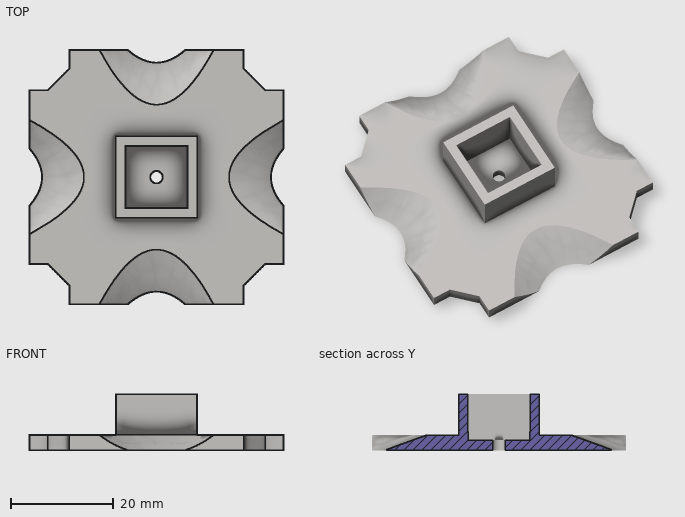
import cadquery as cq

plate_size = 49.8
plate_thickness = 3.0
total_height = 11.0
side_half_width = 17.05
bevel_reach = 21.25

socket_size = 15.95
pocket_size = 12.2
pocket_floor_size = 12.0
pocket_floor_height = 2.0
drain_diameter = 2.4

scoop_edge_radius = 18.1
scoop_edge_depth = 3.9
scoop_length = 10.7
scoop_tip_radius = 15.65
scoop_overrun = 1.0

half_plate = plate_size / 2


def make_plate():
    """Square plate whose corners are cut back to a diagonal."""
    corner = [
        (half_plate, side_half_width),
        (bevel_reach, side_half_width),
        (side_half_width, bevel_reach),
        (side_half_width, half_plate),
    ]
    outline = list(corner)
    outline += [(-x, y) for x, y in reversed(corner)]
    outline += [(-x, -y) for x, y in corner]
    outline += [(x, -y) for x, y in reversed(corner)]
    return cq.Workplane("XY").polyline(outline).close().extrude(plate_thickness)


def make_socket():
    """Square block standing on the plate."""
    return cq.Workplane("XY").rect(socket_size, socket_size).extrude(total_height)


def make_pocket():
    """Slightly tapered square pocket, open at the top of the socket."""
    return (
        cq.Workplane("XY", origin=(0, 0, pocket_floor_height))
        .rect(pocket_floor_size, pocket_floor_size)
        .workplane(offset=total_height - pocket_floor_height)
        .rect(pocket_size, pocket_size)
        .loft(ruled=True)
    )


def scoop_section(inset):
    """Circular scoop section at a distance inward from the -Y side."""
    fraction = inset / scoop_length
    radius = scoop_edge_radius + fraction * (scoop_tip_radius - scoop_edge_radius)
    depth = scoop_edge_depth * (1 - fraction)
    center = cq.Vector(0, inset - half_plate, plate_thickness - depth + radius)
    return cq.Wire.makeCircle(radius, center, cq.Vector(0, 1, 0))


def make_scoop():
    """Sloping conical cutter that breaks through the underside at the plate edge."""
    outer = scoop_section(-scoop_overrun)
    inner = scoop_section(scoop_length + scoop_overrun)
    return cq.Workplane(obj=cq.Solid.makeLoft([outer, inner], True))


plate = make_plate()
scoop = make_scoop()
for angle in (0, 90, 180, 270):
    plate = plate.cut(scoop.rotate((0, 0, 0), (0, 0, 1), angle))

drain = cq.Workplane("XY").circle(drain_diameter / 2).extrude(total_height)
result = plate.union(make_socket()).cut(make_pocket()).cut(drain)